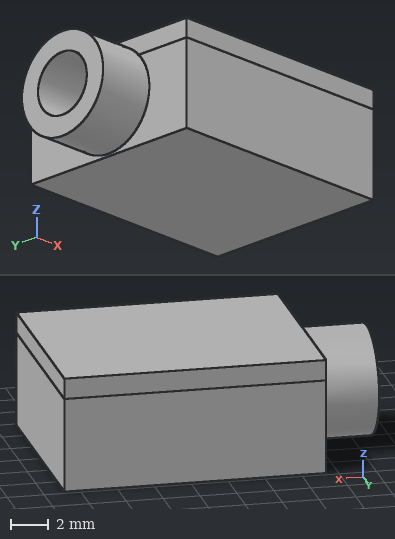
import cadquery as cq

TOTAL_LENGTH = 17.7
WIDTH = 11.5
HEIGHT = 6.3
COLLAR_LENGTH = 3.5
COLLAR_DIAMETER = 6.0
BORE_DIAMETER = 3.6
LID_THICKNESS = 1.13

BLOCK_LENGTH = TOTAL_LENGTH - COLLAR_LENGTH
BASE_HEIGHT = HEIGHT - LID_THICKNESS
AXIS_HEIGHT = HEIGHT / 2


def slab(thickness, bottom):
    """Rectangular slab with the block's footprint, its front face at X = 0."""
    return (
        cq.Workplane("XY")
        .workplane(offset=bottom)
        .box(BLOCK_LENGTH, WIDTH, thickness, centered=(False, True, False))
    )


def make_base():
    """Lower part of the block."""
    return slab(BASE_HEIGHT, 0)


def make_lid():
    """Flat cover resting on the base."""
    return slab(LID_THICKNESS, BASE_HEIGHT)


def make_collar():
    """Round tube that butts against the front face of the block."""
    return (
        cq.Workplane("YZ", origin=(-COLLAR_LENGTH, 0, AXIS_HEIGHT))
        .circle(COLLAR_DIAMETER / 2)
        .circle(BORE_DIAMETER / 2)
        .extrude(COLLAR_LENGTH)
    )


base = make_base()
lid = make_lid()
collar = make_collar()

result = cq.Compound.makeCompound([base.val(), lid.val(), collar.val()])